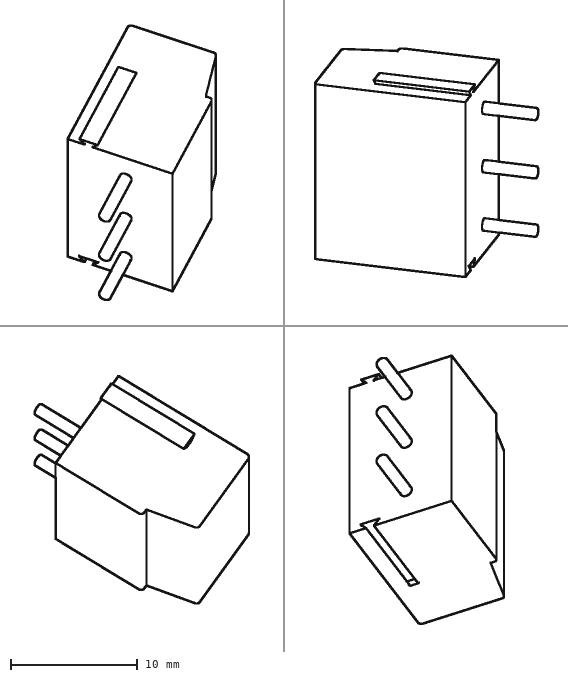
import cadquery as cq

pin_count = 3
pin_pitch = 5.0
pin_diameter = 1.0
pin_length = 4.4
pin_tip_radius = 0.15
pin_x = 5.0

body_width = 9.0
body_depth = 12.5
body_height = pin_count * pin_pitch
step_depth = 8.2
slope_base_x = 8.4
slope_top_x = 7.5
corner_radius = 0.3

dovetail_x = 1.8
dovetail_length = 7.9
rib_height = 0.49
rib_neck_width = 0.66
rib_crest_width = 1.55
groove_depth = 0.55
groove_mouth_width = 0.7
groove_floor_width = 1.65


def make_body():
    """Extruded block whose far right side slopes down to a narrow ledge."""
    outline = [
        (0, 0),
        (body_width, 0),
        (body_width, step_depth),
        (slope_base_x, step_depth),
        (slope_top_x, body_depth),
        (0, body_depth),
    ]
    block = cq.Workplane("XY").polyline(outline).close().extrude(body_height)
    rounded_corners = [(body_width, step_depth), (slope_top_x, body_depth), (0, body_depth)]
    for x, y in rounded_corners:
        corner = cq.selectors.NearestToPointSelector((x, y, body_height / 2))
        block = block.edges(corner).fillet(corner_radius)
    return block


def make_dovetail(base_z, lower_width, upper_width, height):
    """Trapezoidal bar starting at the pin face and running along +Y."""
    outline = [
        (dovetail_x - lower_width / 2, base_z),
        (dovetail_x + lower_width / 2, base_z),
        (dovetail_x + upper_width / 2, base_z + height),
        (dovetail_x - upper_width / 2, base_z + height),
    ]
    return cq.Workplane("XZ").polyline(outline).close().extrude(-dovetail_length)


def make_pin(z):
    """Round pin standing out of the pin face toward -Y, rounded at its tip."""
    pin = cq.Workplane("XZ").center(pin_x, z).circle(pin_diameter / 2).extrude(pin_length)
    return pin.faces("<Y").fillet(pin_tip_radius)


result = make_body()
result = result.union(make_dovetail(body_height, rib_neck_width, rib_crest_width, rib_height))
result = result.cut(make_dovetail(0, groove_mouth_width, groove_floor_width, groove_depth))

lowest_pin_z = pin_pitch / 2
for index in range(pin_count):
    result = result.union(make_pin(lowest_pin_z + index * pin_pitch))